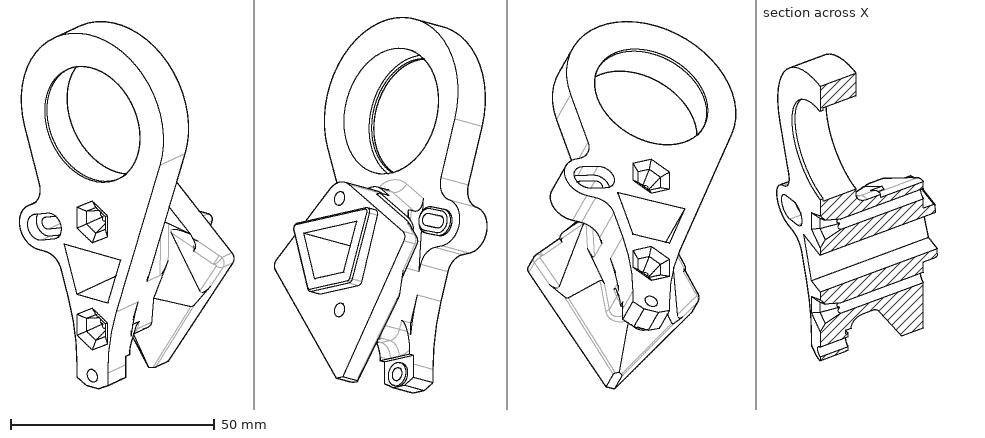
import cadquery as cq
import math


plate_thickness = 10.0
ring_radius = 22.2
taper = math.radians(18)
leg_half_width = 4.8
leg_curve_top = -48.9
leg_bottom = -70.6
leg_corner_rise = 1.5
leg_flat_half_width = 1.9
leg_thickness = 8.7
foot_thickness = 7.2
foot_top = -63.5

bore_center_z = -1.2
bore_radius = 14.85
bore_lip = 0.85
bore_step = 0.85

lobe_x = -16.9
lobe_z = -32.4
lobe_radius = 5.9
lobe_fillet = 5.0
slot_spacing = 4.2
slot_radius = 1.5
pocket_radius = 3.3
pocket_depth = 3.5
slot_rim_height = 1.1
slot_rim_chamfer = 0.6

foot_hole_z = -67.5
foot_hole_radius = 1.6
foot_rim_radius = 2.9
foot_rim_height = 0.7

screw_zs = (-27.0, -55.2)
screw_radius = 1.7
seat_flats = (9.55, 5.9, 2.9)
seat_depths = (0, 1.4, 6.15)

upper_slope = math.radians(40)
lower_slope = math.radians(56.8)
flange_apex = -21.3
flange_tip = -74.1
flange_bottom = -72.4
flange_back = 28.8
flange_front = 13.2
flange_step = 20.05
apex_radius = 5.0
corner_radius = 1.9
wing_fillet = 1.9
keel_fillet = 0.9

wing_corner = (20.3, 23.2, -41.1)
wing_inner_top = (12.0, 17.6, -34.3)
wing_inner_bottom = (15.5, 23.2, -48.8)
neck_corner = (9.4, 17.5, -49.75)
keel_side = (14.85, 22.0, -51.2)
keel_tip = (0, 22.4, -72.2)
keel_root = (0, 16.1, -61.0)

wing_top_edge = (15.6, 19.9, -35.0)
wing_corner_edge = (21.4, 23.5, -40.2)
wing_side_edge = (18.5, 23.6, -45.7)
keel_edge = (6.6, 22.4, -62.4)

neck_half_width = 10.4
neck_wall_bottom = -43.5
neck_apex = -20.2
shoulder_z = neck_apex - neck_half_width * math.tan(upper_slope)
neck_bottom = -60.1
neck_back = 16.9
ledge_z = -24.9
neck_fillet = 3.0
wall_fillet = 2.8
leg_fillet = 3.3
flare_top = -55.6
keel_root_fillet = 1.4
neck_bottom_fillet = 3.3

plug_top = -31.8
plug_bottom = -50.1
plug_root = flange_back - 0.9
plug_wall = 3.1
plug_back_top = 32.2
plug_back_bottom = 32.8
plug_corner = 1.2
plug_edge_chamfer = 0.5

window_top = -34.9
window_bottom = -47.2
window_half_top = 8.8


def sketch(y):
    """Workplane facing the back: local axes are X and Z, extrusion goes towards +Y."""
    return cq.Workplane(cq.Plane((0, y, 0), (1, 0, 0), (0, -1, 0)))


def prism(points, y_start, y_end):
    return sketch(y_start).polyline(points).close().extrude(y_start - y_end)


def block(half_width, y_start, y_end, z_bottom, z_top):
    """Box centred on X = 0."""
    return prism(mirrored([(half_width, z_top), (half_width, z_bottom)]), y_start, y_end)


def disc(x, z, radius, y_start, y_end):
    return sketch(y_start).center(x, z).circle(radius).extrude(y_start - y_end)


def mirrored(right_half):
    """Close a right-hand chain of points with its reflection across X = 0."""
    return right_half + [(-x, z) for x, z in reversed(right_half) if x > 0]


def side_x(z):
    """Half width of the plate between its straight sides at height z."""
    return (ring_radius + z * math.sin(taper)) / math.cos(taper)


def slot_solid(radius, y_start, y_end):
    """Round-ended slot starting at the lobe centre and rising parallel to the taper angle."""
    middle_x = lobe_x + slot_spacing / 2 * math.cos(taper)
    middle_z = lobe_z + slot_spacing / 2 * math.sin(taper)
    outline = sketch(y_start).center(middle_x, middle_z)
    return outline.slot2D(slot_spacing + 2 * radius, 2 * radius, math.degrees(taper)).extrude(y_start - y_end)


def edges_near(body, points, side=1):
    """Select the edge nearest to each point; side -1 mirrors the points across X = 0."""
    picks = [cq.selectors.NearestToPointSelector((side * x, y, z)) for x, y, z in points]
    return body.newObject([body.edges(pick).val() for pick in picks])


def plate_body(depth):
    """Eyelet with straight tapered sides running into a narrow leg."""
    tangent_x = ring_radius * math.cos(taper)
    tangent_z = -ring_radius * math.sin(taper)
    curve_x = side_x(leg_curve_top)
    curve_bottom = leg_curve_top - (curve_x - leg_half_width) / math.tan(taper / 2)
    radius = (curve_x - leg_half_width) / (1 - math.cos(taper))
    mid_x = leg_half_width + radius * (1 - math.cos(taper / 2))
    mid_z = curve_bottom + radius * math.sin(taper / 2)
    corner_z = leg_bottom + leg_corner_rise
    return (
        sketch(0)
        .moveTo(-tangent_x, tangent_z)
        .threePointArc((0, ring_radius), (tangent_x, tangent_z))
        .lineTo(curve_x, leg_curve_top)
        .threePointArc((mid_x, mid_z), (leg_half_width, curve_bottom))
        .lineTo(leg_half_width, corner_z)
        .lineTo(leg_flat_half_width, leg_bottom)
        .lineTo(-leg_flat_half_width, leg_bottom)
        .lineTo(-leg_half_width, corner_z)
        .lineTo(-leg_half_width, curve_bottom)
        .threePointArc((-mid_x, mid_z), (-curve_x, leg_curve_top))
        .close()
        .extrude(-depth)
    )


def make_plate():
    lobe = disc(lobe_x, lobe_z, lobe_radius, 0, plate_thickness)
    lobe_bottom = lobe_z - lobe_radius
    web = prism([(lobe_x, lobe_z), (lobe_x, lobe_bottom), (0, lobe_bottom), (0, lobe_z)], 0, plate_thickness)
    plate = plate_body(plate_thickness).union(lobe).union(web)
    upper_corner_z = lobe_z + lobe_radius
    for x, z in ((-side_x(upper_corner_z), upper_corner_z), (-side_x(lobe_bottom), lobe_bottom)):
        plate = edges_near(plate, [(x, plate_thickness / 2, z)]).fillet(lobe_fillet)
    for z_top, thickness in ((leg_curve_top, leg_thickness), (foot_top, foot_thickness)):
        plate = plate.cut(block(ring_radius, thickness, plate_thickness, leg_bottom, z_top))
    foot_rim = disc(0, foot_hole_z, foot_rim_radius, 0, foot_thickness + foot_rim_height)
    slot_rim = slot_solid(pocket_radius, plate_thickness, plate_thickness + slot_rim_height)
    slot_rim = slot_rim.faces(">Y").chamfer(slot_rim_chamfer)
    return plate.union(foot_rim).union(slot_rim)


def kite(apex_z, y_start, y_end):
    """Kite with a rounded apex and a blunt tip."""
    corner_x = (apex_z - flange_tip) / (math.tan(upper_slope) + math.tan(lower_slope))
    corner_z = apex_z - corner_x * math.tan(upper_slope)
    tip_x = (flange_bottom - flange_tip) / math.tan(lower_slope)
    points = mirrored([(0, apex_z), (corner_x, corner_z), (tip_x, flange_bottom)])
    body = prism(points, y_start, y_end)
    return body.edges("|Y and >Z").fillet(apex_radius)


def space_in_front(p, q, r):
    """Large block filling the -Y side of the plane through three points."""
    size = 4 * (ring_radius - flange_bottom)
    a, b, c = cq.Vector(*p), cq.Vector(*q), cq.Vector(*r)
    normal = (b - a).cross(c - a)
    if normal.y > 0:
        normal = normal * -1
    plane = cq.Plane(a, b - a, normal)
    return cq.Workplane(plane).rect(size, size).extrude(size)


def flange_blank(apex_z):
    """Full-depth kite whose front side is trimmed by the wing and keel slopes."""
    body = kite(apex_z, flange_front, flange_back)
    body = body.edges("|Y and (<X or >X)").fillet(corner_radius)
    wing = space_in_front(wing_corner, wing_inner_top, wing_inner_bottom)
    inner = space_in_front(neck_corner, wing_inner_top, wing_inner_bottom)
    keel = space_in_front(keel_side, keel_tip, keel_root)
    below_wing = wing.intersect(inner)
    for cutter in (below_wing, keel):
        body = body.cut(cutter).cut(cutter.mirror("YZ"))
    for side in (1, -1):
        body = edges_near(body, [wing_top_edge, wing_corner_edge, wing_side_edge], side).fillet(wing_fillet)
        body = edges_near(body, [keel_edge], side).fillet(keel_fillet)
    return body


def trim_ledge(body):
    """Flatten the apex behind the neck and remove everything behind the step of the upper edges."""
    ledge = block(ring_radius, neck_back, flange_back, ledge_z, 0)
    behind_step = block(2 * ring_radius, flange_step, flange_back, flange_tip, 0)
    return body.cut(ledge).cut(behind_step)


def make_neck():
    outline = mirrored([
        (0, neck_apex),
        (neck_half_width, shoulder_z),
        (side_x(neck_wall_bottom), neck_wall_bottom),
        (side_x(neck_bottom), neck_bottom),
    ])
    neck = prism(outline, leg_thickness, flange_step)
    neck = neck.edges("|Y and >Z").fillet(apex_radius)
    neck = neck.edges("|Y and <Z").fillet(neck_bottom_fillet)
    neck = neck.union(block(ring_radius, 0, leg_thickness, foot_top, 0))
    neck = edges_near(neck, [(0, leg_thickness, neck_bottom)]).fillet(leg_fillet)
    trim = mirrored([
        (side_x(0), 0),
        (side_x(flare_top), flare_top),
        (side_x(flare_top), foot_top),
    ])
    return neck.intersect(plate_body(flange_step)).intersect(prism(trim, 0, flange_step))


def make_flange_with_neck():
    proud_front = trim_ledge(flange_blank(neck_apex).union(make_neck()))
    body = flange_blank(flange_apex).union(proud_front)
    wall_edge = (neck_half_width, neck_back, (shoulder_z + neck_wall_bottom) / 2)
    for side in (1, -1):
        body = edges_near(body, [wall_edge], side).fillet(wall_fillet)
    return edges_near(body, [(0, neck_back, neck_bottom)]).fillet(keel_root_fillet)


def join_neck_to_plate(neck, plate):
    """Unite both and round the corner along the top of the neck."""
    body = plate.union(neck)
    arc_top = neck_apex - apex_radius * (1 / math.cos(upper_slope) - 1)
    slope_x = (apex_radius * math.sin(upper_slope) + neck_half_width) / 2
    slope_z = neck_apex - slope_x * math.tan(upper_slope)
    corner = [(x, plate_thickness, z) for x, z in ((0, arc_top), (slope_x, slope_z), (-slope_x, slope_z))]
    return edges_near(body, corner).fillet(neck_fillet)


def make_plug():
    def half(z):
        return window_half_top + (z - window_top) * math.tan(taper) + plug_wall / math.cos(taper)

    outline = mirrored([(half(plug_top), plug_top), (half(plug_bottom), plug_bottom)])
    plug = prism(outline, plug_root, plug_back_bottom)
    plug = plug.edges("|Y").fillet(plug_corner)
    profile = [
        (plug_root, plug_top),
        (plug_back_top, plug_top),
        (plug_back_bottom, plug_bottom),
        (plug_root, plug_bottom),
    ]
    envelope = cq.Workplane("YZ").polyline(profile).close().extrude(2 * half(plug_top), both=True)
    return plug.intersect(envelope).faces(">Y").edges().chamfer(plug_edge_chamfer)


def cut_bore(body):
    center = (0, bore_center_z)
    body = body.cut(disc(*center, bore_radius, 0, plate_thickness))
    return body.cut(disc(*center, bore_radius + bore_step, bore_lip, plate_thickness))


def hexagon(flats, depth, z):
    radius = flats / math.sqrt(3)
    angles = [math.radians(90 + 60 * i) for i in range(6)]
    corners = [cq.Vector(radius * math.cos(a), depth, z + radius * math.sin(a)) for a in angles]
    return cq.Wire.makePolygon(corners, close=True)


def cut_screw_holes(body):
    for z in screw_zs:
        body = body.cut(disc(0, z, screw_radius, 0, plug_back_bottom))
        seat = [hexagon(flats, depth, z) for flats, depth in zip(seat_flats, seat_depths)]
        for front, back in zip(seat, seat[1:]):
            body = body.cut(cq.Workplane(cq.Solid.makeLoft([front, back], True)))
    return body


def cut_window(body):
    half_bottom = window_half_top - (window_top - window_bottom) * math.tan(taper)
    outline = mirrored([(window_half_top, window_top), (half_bottom, window_bottom)])
    return body.cut(prism(outline, 0, plug_back_bottom))


def cut_slot(body):
    body = body.cut(slot_solid(pocket_radius, 0, pocket_depth))
    return body.cut(slot_solid(slot_radius, 0, plate_thickness + slot_rim_height))


body = join_neck_to_plate(make_flange_with_neck(), make_plate())
body = body.union(make_plug())
body = cut_bore(body)
body = cut_window(body)
body = cut_screw_holes(body)
body = cut_slot(body)
result = body.cut(disc(0, foot_hole_z, foot_hole_radius, 0, foot_thickness + foot_rim_height))